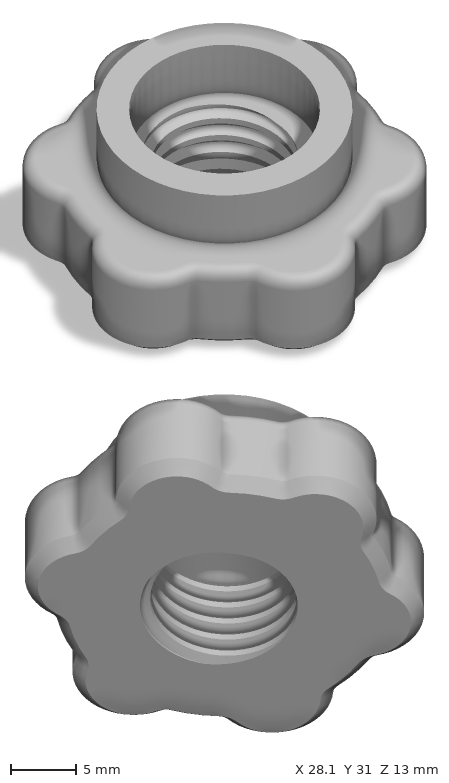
import cadquery as cq
import math

LOBE_COUNT = 6
FIRST_LOBE_ANGLE = 90.0
LOBE_RADIUS = 4.7
LOBE_CENTRE_RADIUS = 10.8
DISC_RADIUS = 13.1
VALLEY_RADIUS = 1.0
GRIP_HEIGHT = 8.0
TOP_ROUND = 1.0
BOTTOM_CHAMFER = 1.0

COLLAR_DIAMETER = 19.65
COLLAR_HEIGHT = 5.0
RECESS_DIAMETER = 14.65

BORE_RADIUS = 5.67
BORE_OFFSET = (0.09, -0.13, 0)
THREAD_PITCH = 1.75
GROOVE_DEPTH = 0.78
GROOVE_MOUTH_WIDTH = 1.2
GROOVE_ROOT_WIDTH = 0.5
SHOULDER_CROSSING_ANGLE = 200.0
TURNS_BELOW_SHOULDER = 6
TURNS_ABOVE_SHOULDER = 1
GROOVE_INNER_OVERLAP = 0.3


def polar(radius, angle):
    """Point at a radius and an angle in degrees."""
    return (radius * math.cos(math.radians(angle)), radius * math.sin(math.radians(angle)))


def point_between(start, end, distance):
    """Point at a given distance from start on the line towards end."""
    share = distance / math.dist(start, end)
    return (start[0] + share * (end[0] - start[0]), start[1] + share * (end[1] - start[1]))


def valley_offset_angle():
    """Angle between a lobe and the centre of the valley arc touching both lobe and disc."""
    to_valley = DISC_RADIUS + VALLEY_RADIUS
    lobe_to_valley = LOBE_RADIUS + VALLEY_RADIUS
    squares = to_valley**2 + LOBE_CENTRE_RADIUS**2 - lobe_to_valley**2
    return math.degrees(math.acos(squares / (2 * to_valley * LOBE_CENTRE_RADIUS)))


def valley_points(lobe_angle, side):
    """Lobe end, middle and disc end of the valley arc on one side of a lobe."""
    disc_angle = lobe_angle + side * valley_offset_angle()
    valley_centre = polar(DISC_RADIUS + VALLEY_RADIUS, disc_angle)
    lobe_end = point_between(valley_centre, polar(LOBE_CENTRE_RADIUS, lobe_angle), VALLEY_RADIUS)
    disc_end = polar(DISC_RADIUS, disc_angle)
    chord_middle = point_between(lobe_end, disc_end, math.dist(lobe_end, disc_end) / 2)
    middle = point_between(valley_centre, chord_middle, VALLEY_RADIUS)
    return lobe_end, middle, disc_end


def make_grip():
    """Lobed disc with a rounded top rim and a chamfered bottom rim."""
    step = 360.0 / LOBE_COUNT
    start = valley_points(FIRST_LOBE_ANGLE, -1)[2]
    outline = cq.Workplane("XY").moveTo(*start)
    for index in range(LOBE_COUNT):
        angle = FIRST_LOBE_ANGLE + index * step
        lobe_start, valley_middle, _ = valley_points(angle, -1)
        outline = outline.threePointArc(valley_middle, lobe_start)
        lobe_end, valley_middle, disc_start = valley_points(angle, 1)
        outline = outline.threePointArc(polar(LOBE_CENTRE_RADIUS + LOBE_RADIUS, angle), lobe_end)
        outline = outline.threePointArc(valley_middle, disc_start)
        disc_end = valley_points(angle + step, -1)[2]
        outline = outline.threePointArc(polar(DISC_RADIUS, angle + step / 2), disc_end)
    grip = outline.close().extrude(GRIP_HEIGHT)
    return grip.faces("<Z").chamfer(BOTTOM_CHAMFER).faces(">Z").edges().fillet(TOP_ROUND)


def make_collar():
    return cq.Workplane("XY").circle(COLLAR_DIAMETER / 2).extrude(GRIP_HEIGHT + COLLAR_HEIGHT)


def make_recess():
    recess_floor = cq.Workplane("XY").workplane(offset=GRIP_HEIGHT)
    return recess_floor.circle(RECESS_DIAMETER / 2).extrude(COLLAR_HEIGHT)


def make_bore():
    return cq.Workplane("XY").circle(BORE_RADIUS).extrude(GRIP_HEIGHT).translate(BORE_OFFSET)


def make_thread_groove():
    """Trapezoidal groove swept along a helix; it starts inside the bore so that it cuts cleanly."""
    start_height = GRIP_HEIGHT - TURNS_BELOW_SHOULDER * THREAD_PITCH
    length = (TURNS_BELOW_SHOULDER + TURNS_ABOVE_SHOULDER) * THREAD_PITCH
    helix = cq.Workplane(obj=cq.Wire.makeHelix(THREAD_PITCH, length, BORE_RADIUS))
    half_mouth = GROOVE_MOUTH_WIDTH / 2
    half_root = GROOVE_ROOT_WIDTH / 2
    flank_slope = (half_mouth - half_root) / GROOVE_DEPTH
    half_inner = half_mouth + flank_slope * GROOVE_INNER_OVERLAP
    profile = cq.Workplane("XZ").polyline(
        [
            (BORE_RADIUS - GROOVE_INNER_OVERLAP, -half_inner),
            (BORE_RADIUS + GROOVE_DEPTH, -half_root),
            (BORE_RADIUS + GROOVE_DEPTH, half_root),
            (BORE_RADIUS - GROOVE_INNER_OVERLAP, half_inner),
        ]
    )
    groove = profile.close().sweep(helix, isFrenet=True)
    groove = groove.rotate((0, 0, 0), (0, 0, 1), SHOULDER_CROSSING_ANGLE)
    groove = groove.translate((0, 0, start_height))
    threaded_length = cq.Workplane("XY").circle(RECESS_DIAMETER / 2).extrude(GRIP_HEIGHT)
    return groove.intersect(threaded_length).translate(BORE_OFFSET)


body = make_grip().union(make_collar())
result = body.cut(make_recess()).cut(make_bore()).cut(make_thread_groove())